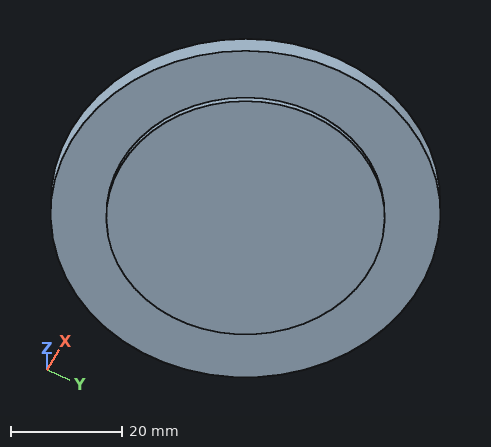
import cadquery as cq

disc_diameter = 70.0
disc_thickness = 4.0
boss_diameter = 50.0
total_height = 5.2

boss_height = total_height - disc_thickness

boss = cq.Workplane("XY").circle(boss_diameter / 2).extrude(boss_height)

disc = (
    cq.Workplane("XY")
    .workplane(offset=boss_height)
    .circle(disc_diameter / 2)
    .extrude(disc_thickness)
)

result = disc.union(boss)